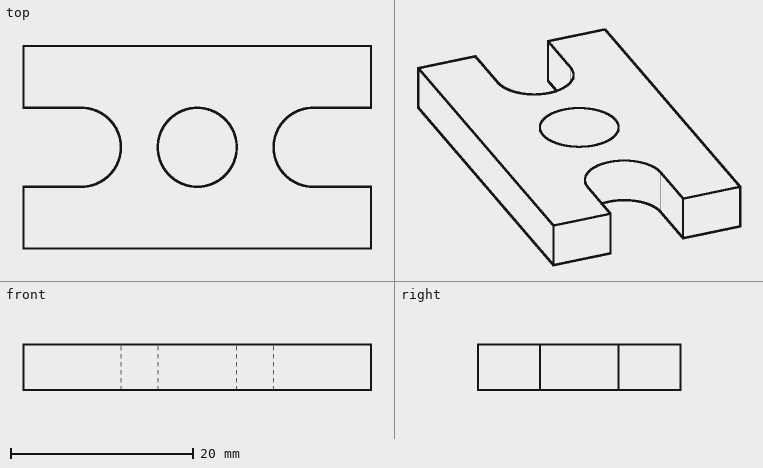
import cadquery as cq

length = 38.1
width = 22.225
thickness = 5.0

bore_diameter = 8.64
slot_center_inset = 6.35


def make_plate():
    """Plain rectangular plate resting on the XY plane."""
    return cq.Workplane("XY").box(length, width, thickness, centered=(True, True, False))


def center_hole():
    """Cutter for the round hole through the middle of the plate."""
    return cq.Workplane("XY").circle(bore_diameter / 2).extrude(thickness)


def end_slot(side):
    """Cutter for the open, round-bottomed slot at the -X (side=-1) or +X (side=1) end."""
    radius = bore_diameter / 2
    end_x = side * length / 2
    center_x = side * (length / 2 - slot_center_inset)
    bottom_x = center_x - side * radius
    return (
        cq.Workplane("XY")
        .moveTo(end_x, radius)
        .lineTo(center_x, radius)
        .threePointArc((bottom_x, 0), (center_x, -radius))
        .lineTo(end_x, -radius)
        .close()
        .extrude(thickness)
    )


result = make_plate().cut(center_hole())
for side in (-1, 1):
    result = result.cut(end_slot(side))